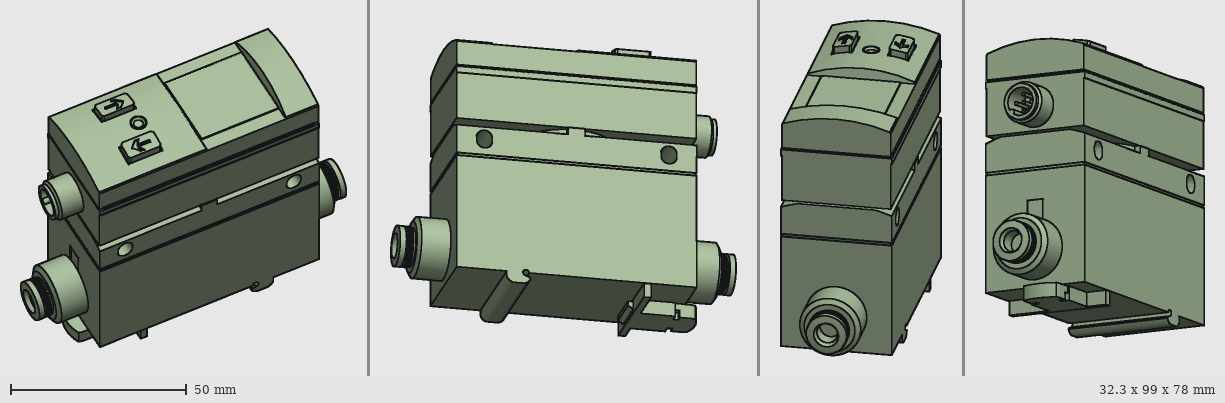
import cadquery as cq
import math


block_width = 32.3
head_width = 31.7
overall_length = 99.0
body_length = 70.3
seam_inset = 0.3
seam_bottom, seam_top = 34.2, 34.9
deck_edge_z, deck_flat_z, deck_arc_crown_z = 43.4, 44.8, 46.2
head_bottom, head_step_z, head_top = 45.5, 59.4, 61.3
cap_groove_inset, cap_groove_corner = 0.6, 0.6
pillar_diameter = 29.0
bridge_length = 4.95

cross_hole_width, cross_hole_height = 4.7, 5.3
cross_hole_y, cross_hole_z = 27.0, 39.7

cap_bottom, cap_shoulder_z, cap_edge_z, cap_crown_z = 61.9, 69.0, 69.5, 72.2
cap_edge_inset = 0.3
cap_edge_x = head_width / 2 - cap_edge_inset
cap_rise = cap_crown_z - cap_edge_z
cap_radius = (cap_edge_x**2 + cap_rise**2) / (2 * cap_rise)
cap_axis_z = cap_crown_z - cap_radius

window_front, window_back = -0.5, 24.7
window_slope = 0.9
screen_width = 23.1
screen_front = -0.1
screen_height = 0.4

button_x, button_y = 8.2, -17.9
button_width, button_length = 5.4, 10.4
button_lift = 1.9
button_corner = 0.6
button_gap, button_gap_depth = 0.3, 0.5
arrow_length, arrow_half_width, arrow_shaft_half = 5.8, 1.9, 0.4
arrow_wing_drop, arrow_wing_height = 1.9, 1.3
arrow_depth = 0.6
indicator_y = -14.5
indicator_radius, indicator_mouth_radius, indicator_floor_radius = 2.4, 2.1, 1.4
indicator_top = cap_crown_z + 0.1
indicator_depth = 0.6

connector_z = 52.6
connector_diameter, connector_rim_diameter = 12.0, 10.5
connector_shoulder, connector_rim_start, connector_length = 6.8, 7.5, 8.6
connector_bore, connector_bore_depth = 8.1, 8.4
pin_diameter, pin_length, pin_spacing = 1.0, 6.4, 2.5
key_radius = 0.9

fitting_z = 11.1
fitting_diameter = 17.7
fitting_reach = (overall_length - body_length) / 2
fitting_face, fitting_chamfer, fitting_chamfer_length = 9.5, 1.5, 1.0
gland_diameter, ridge_diameter = 11.3, 11.8
gland_end, ridge_width, ridge_starts = 11.6, 0.5, (10.2, 10.9)
tube_neck_diameter = 8.3
collar_start, collar_diameter, collar_face_slope = 12.3, 11.8, 0.3
tube_bore, tube_bore_depth = 6.0, 5.9
tube_mouth_diameter, tube_mouth_depth = 7.2, 1.5

label_width, label_top, label_depth = 5.1, 25.5, 0.4

hook_depth = 3.3
hook_back, hook_back_drop, hook_back_arc = 20.5, 1.3, (19.9, -2.6)
hook_flat_back, hook_flat_front = 18.5, 15.4
hook_nose_arc, hook_nose, hook_lip = (14.3, -2.8), (13.5, -1.8), (13.9, -1.3)
hook_slot_y, hook_slot_radius = 14.85, 0.9

latch_height = 4.2
latch_bar_width = 31.5
latch_bar_back, latch_bar_front = -19.8, -21.9
latch_x = 3.3
latch_stem_width, latch_stem_front = 12.4, -32.1
latch_tab_width, latch_tab_side_end = 11.3, -36.8
latch_tip_width, latch_tip_start, latch_tip_end = 10.7, -38.1, -39.3
latch_notch_width, latch_notch_depth, latch_notch_top = 1.5, 2.0, -2.0
catch_reach, catch_top, catch_nose_z, catch_bottom = 1.6, -0.8, -2.1, -3.1


def block(width, length, bottom, top):
    """Box centred on X = Y = 0 between two heights."""
    return cq.Workplane("XY").workplane(offset=bottom).rect(width, length).extrude(top - bottom)


def deck_block():
    """Deck whose top is an arch across X, cut flat below its crown."""
    half = block_width / 2
    arch = (
        cq.Workplane("XZ")
        .moveTo(-half, seam_top)
        .lineTo(-half, deck_edge_z)
        .threePointArc((0, deck_arc_crown_z), (half, deck_edge_z))
        .lineTo(half, seam_top)
        .close()
        .extrude(body_length / 2, both=True)
    )
    return arch.intersect(block(block_width, body_length, seam_top, deck_flat_z))


def turned(profile, z):
    """Revolve (radius, distance out from the front face) points about a Y axis at height z."""
    return (
        cq.Workplane("XY")
        .polyline(profile)
        .close()
        .revolve(360, (0, 0, 0), (0, 1, 0))
        .rotate((0, 0, 0), (0, 0, 1), 180)
        .translate((0, -body_length / 2, z))
    )


def lower_block():
    base = block(block_width, body_length, 0, seam_bottom)
    seam = block(block_width - 2 * seam_inset, body_length - 2 * seam_inset, seam_bottom, seam_top)
    deck = deck_block()
    pillar = (
        cq.Workplane("XY")
        .workplane(offset=seam_top)
        .circle(pillar_diameter / 2)
        .extrude(head_bottom - seam_top)
    )
    bridge = block(block_width, bridge_length, seam_top, head_bottom)
    return base.union(seam).union(deck).union(pillar).union(bridge)


def cross_holes():
    return (
        cq.Workplane("YZ")
        .pushPoints([(-cross_hole_y, cross_hole_z), (cross_hole_y, cross_hole_z)])
        .slot2D(cross_hole_height, cross_hole_width, 90)
        .extrude(block_width, both=True)
    )


def upper_head():
    lower = block(head_width, body_length, head_bottom, head_step_z)
    upper = block(block_width, body_length, head_step_z, head_top)
    groove_core = block(
        block_width - 2 * cap_groove_inset, body_length - 2 * cap_groove_inset, head_top, cap_bottom
    ).edges("|Z").chamfer(cap_groove_corner)
    return lower.union(upper).union(groove_core)


def cap():
    half = head_width / 2
    body = (
        cq.Workplane("XZ")
        .moveTo(-half, cap_bottom)
        .lineTo(-half, cap_shoulder_z)
        .lineTo(-cap_edge_x, cap_edge_z)
        .threePointArc((0, cap_crown_z), (cap_edge_x, cap_edge_z))
        .lineTo(half, cap_shoulder_z)
        .lineTo(half, cap_bottom)
        .close()
        .extrude(body_length / 2, both=True)
    )
    window = (
        cq.Workplane("YZ")
        .polyline([
            (window_front, cap_shoulder_z),
            (window_back, cap_shoulder_z),
            (window_back + window_slope, cap_crown_z),
            (window_front - window_slope, cap_crown_z),
        ])
        .close()
        .extrude(head_width, both=True)
    )
    screen = cq.Workplane("XY").box(
        screen_width, window_back - screen_front, screen_height, centered=(True, False, False)
    )
    return body.cut(window).union(screen.translate((0, screen_front, cap_shoulder_z)))


def dome_cylinder(offset):
    """Solid cylinder concentric with the cap dome, raised by an offset."""
    return (
        cq.Workplane("XZ")
        .center(0, cap_axis_z)
        .circle(cap_radius + offset)
        .extrude(body_length / 2, both=True)
    )


def button_column(x, growth):
    """Upright prism over a button, tall enough to pass the dome."""
    return (
        cq.Workplane("XY")
        .workplane(offset=cap_shoulder_z)
        .center(x, button_y)
        .rect(button_width + 2 * growth, button_length + 2 * growth)
        .extrude(cap_crown_z - cap_shoulder_z + 2 * button_lift)
    )


def arrow_column(x, direction):
    """Upright arrow-shaped prism pointing along +Y (direction 1) or -Y (direction -1)."""
    tip = arrow_length / 2
    wing_top = tip - arrow_wing_drop
    right_side = [
        (arrow_half_width, wing_top),
        (arrow_half_width, wing_top - arrow_wing_height),
        (arrow_shaft_half, wing_top),
        (arrow_shaft_half, -tip),
    ]
    left_side = [(-px, py) for px, py in reversed(right_side)]
    points = [(px, direction * py) for px, py in [(0, tip), *right_side, *left_side]]
    return (
        cq.Workplane("XY")
        .workplane(offset=cap_shoulder_z)
        .center(x, button_y)
        .polyline(points)
        .close()
        .extrude(cap_crown_z - cap_shoulder_z + 2 * button_lift)
    )


def add_button(housing, x, arrow_direction):
    gap = button_column(x, button_gap).cut(dome_cylinder(-button_gap_depth))
    button = button_column(x, 0).edges("|Z").chamfer(button_corner).intersect(dome_cylinder(button_lift))
    arrow = arrow_column(x, arrow_direction).cut(dome_cylinder(button_lift - arrow_depth))
    return housing.cut(gap).union(button.cut(arrow))


def add_indicator(housing):
    boss = (
        cq.Workplane("XY")
        .workplane(offset=cap_shoulder_z)
        .center(0, indicator_y)
        .circle(indicator_radius)
        .extrude(indicator_top - cap_shoulder_z)
    )
    dish = (
        cq.Workplane("XY")
        .workplane(offset=indicator_top)
        .center(0, indicator_y)
        .circle(indicator_mouth_radius)
        .workplane(offset=-indicator_depth)
        .circle(indicator_floor_radius)
        .loft()
    )
    return housing.union(boss).cut(dish)


def connector():
    outer, rim, bore = connector_diameter / 2, connector_rim_diameter / 2, connector_bore / 2
    floor = connector_length - connector_bore_depth
    shell = turned(
        [
            (0, 0),
            (outer, 0),
            (outer, connector_shoulder),
            (rim, connector_rim_start),
            (rim, connector_length),
            (bore, connector_length),
            (bore, floor),
            (0, floor),
        ],
        connector_z,
    )
    floor_plane = cq.Workplane("XZ", origin=(0, -body_length / 2 - floor, connector_z))
    pin_places = [(0, 0), (pin_spacing, 0), (-pin_spacing, 0), (0, pin_spacing), (0, -pin_spacing)]
    pins = floor_plane.pushPoints(pin_places).circle(pin_diameter / 2).extrude(pin_length)
    key_offset = -bore * math.sqrt(0.5)
    key = floor_plane.center(key_offset, key_offset).circle(key_radius).extrude(connector_bore_depth)
    key_zone = floor_plane.circle((bore + rim) / 2).extrude(connector_bore_depth)
    return shell.union(pins).union(key.intersect(key_zone))


def fitting():
    """Tube fitting on the front face, with a ribbed gland, neck and release collar."""
    body, gland, ridge = fitting_diameter / 2, gland_diameter / 2, ridge_diameter / 2
    neck, collar, bore = tube_neck_diameter / 2, collar_diameter / 2, tube_bore / 2
    mouth = tube_mouth_diameter / 2
    profile = [
        (0, 0),
        (body, 0),
        (body, fitting_face - fitting_chamfer_length),
        (body - fitting_chamfer, fitting_face),
        (gland, fitting_face),
    ]
    for start in ridge_starts:
        profile += [
            (gland, start),
            (ridge, start),
            (ridge, start + ridge_width),
            (gland, start + ridge_width),
        ]
    profile += [
        (gland, gland_end),
        (neck, gland_end),
        (neck, collar_start),
        (collar, collar_start),
        (collar, fitting_reach - collar_face_slope),
        (mouth, fitting_reach),
        (bore, fitting_reach - tube_mouth_depth),
        (bore, fitting_reach - tube_bore_depth),
        (0, fitting_reach - tube_bore_depth),
    ]
    return turned(profile, fitting_z)


def label_recess():
    return cq.Workplane("XY").box(
        label_width, label_depth, label_top - fitting_z, centered=(True, False, False)
    ).translate((0, -body_length / 2, fitting_z))


def add_rail_hook(housing):
    hook = (
        cq.Workplane("YZ")
        .moveTo(hook_back, 0)
        .lineTo(hook_back, -hook_back_drop)
        .threePointArc(hook_back_arc, (hook_flat_back, -hook_depth))
        .lineTo(hook_flat_front, -hook_depth)
        .threePointArc(hook_nose_arc, hook_nose)
        .lineTo(*hook_lip)
        .lineTo(hook_slot_y, -hook_slot_radius)
        .lineTo(hook_slot_y, 0)
        .close()
        .extrude(block_width / 2, both=True)
    )
    slot = cq.Workplane("YZ").center(hook_slot_y, 0).circle(hook_slot_radius).extrude(block_width, both=True)
    return housing.union(hook).cut(slot)


def make_housing():
    housing = lower_block().union(upper_head()).union(cap()).cut(cross_holes()).cut(label_recess())
    housing = add_button(housing, -button_x, 1)
    housing = add_button(housing, button_x, -1)
    housing = add_indicator(housing)
    housing = housing.union(connector())
    for angle in (0, 180):
        housing = housing.union(fitting().rotate((0, 0, 0), (0, 0, 1), angle))
    return add_rail_hook(housing)


def latch_plate(width, back, front, x=latch_x):
    """Latch slab of full height between two Y positions."""
    return (
        cq.Workplane("XY").center(x, (back + front) / 2).rect(width, back - front).extrude(-latch_height)
    )


def make_latch():
    bar = latch_plate(latch_bar_width, latch_bar_back, latch_bar_front, 0)
    stem = latch_plate(latch_stem_width, latch_bar_front, latch_stem_front)
    side, tip = latch_tab_width / 2, latch_tip_width / 2
    tab = (
        cq.Workplane("XY")
        .center(latch_x, 0)
        .moveTo(-side, latch_stem_front)
        .lineTo(-side, latch_tab_side_end)
        .lineTo(-tip, latch_tip_start)
        .threePointArc((0, latch_tip_end), (tip, latch_tip_start))
        .lineTo(side, latch_tab_side_end)
        .lineTo(side, latch_stem_front)
        .close()
        .extrude(-latch_height)
    )
    for direction in (-1, 1):
        notch = latch_plate(
            2 * latch_notch_depth,
            latch_stem_front,
            latch_stem_front - latch_notch_width,
            latch_x + direction * side,
        )
        tab = tab.cut(notch.translate((0, 0, latch_notch_top)))
    nose = latch_bar_back + catch_reach
    catch = (
        cq.Workplane("YZ")
        .polyline([
            (latch_bar_back, catch_top),
            (nose, catch_top),
            (nose, catch_nose_z),
            (latch_bar_back, catch_bottom),
        ])
        .close()
        .extrude(latch_stem_width / 2, both=True)
        .translate((latch_x, 0, 0))
    )
    return bar.union(stem).union(tab).union(catch)


housing = make_housing()
latch = make_latch()

result = cq.Compound.makeCompound([housing.solids().val(), latch.solids().val()])